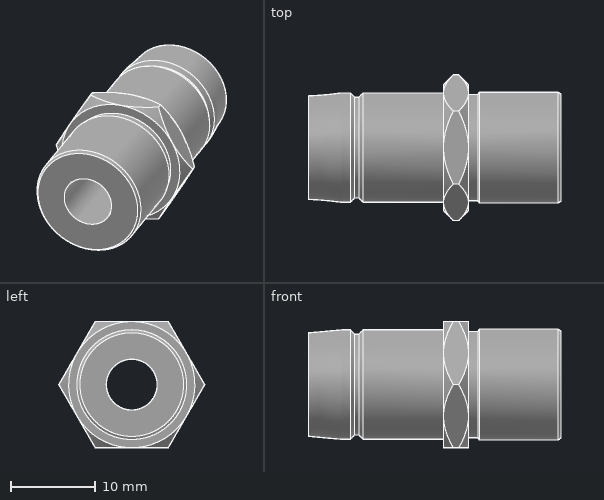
import cadquery as cq
import math

TOTAL_LENGTH = 30.0
BORE_DIAMETER = 6.0

SLEEVE_RADIUS = 6.5
NOSE_RADIUS = 6.15
NOSE_LENGTH = 4.0
GROOVE_START = 4.98
GROOVE_DEPTH = 0.5
GROOVE_FLOOR_WIDTH = 0.5

HEX_ACROSS_FLATS = 15.0
HEX_START = 16.02
HEX_WIDTH = 3.0
HEX_FACE_INSET = 0.015
HEX_FACE_RADIUS = HEX_ACROSS_FLATS / 2 - HEX_FACE_INSET

NECK_RADIUS = 6.33
SPIGOT_RADIUS = 6.6
SPIGOT_START = 20.13
SPIGOT_LEAD_IN = 0.15
END_CHAMFER_LENGTH = 0.35
END_CHAMFER_DEPTH = 0.27


def turned_body():
    """Solid of revolution about X, without the hexagon and the bore."""
    groove_floor_start = GROOVE_START + GROOVE_DEPTH
    groove_floor_end = groove_floor_start + GROOVE_FLOOR_WIDTH
    groove_radius = SLEEVE_RADIUS - GROOVE_DEPTH
    hex_end = HEX_START + HEX_WIDTH
    profile = (
        cq.Workplane("XZ")
        .lineTo(0, NOSE_RADIUS)
        .lineTo(NOSE_LENGTH, SLEEVE_RADIUS)
        .lineTo(GROOVE_START, SLEEVE_RADIUS)
        .lineTo(groove_floor_start, groove_radius)
        .lineTo(groove_floor_end, groove_radius)
        .lineTo(groove_floor_end + GROOVE_DEPTH, SLEEVE_RADIUS)
        .lineTo(hex_end, SLEEVE_RADIUS)
        .lineTo(hex_end, NECK_RADIUS)
        .lineTo(SPIGOT_START, NECK_RADIUS)
        .lineTo(SPIGOT_START + SPIGOT_LEAD_IN, SPIGOT_RADIUS)
        .lineTo(TOTAL_LENGTH - END_CHAMFER_LENGTH, SPIGOT_RADIUS)
        .lineTo(TOTAL_LENGTH, SPIGOT_RADIUS - END_CHAMFER_DEPTH)
        .lineTo(TOTAL_LENGTH, 0)
        .close()
    )
    return profile.revolve(360, (0, 0, 0), (1, 0, 0))


def hexagon_collar():
    """Hexagon with corners on +/-Y, its corners turned off at 45 degrees on both faces."""
    corner_diameter = HEX_ACROSS_FLATS / math.cos(math.pi / 6)
    face = cq.Workplane("YZ").workplane(offset=HEX_START)
    prism = face.polygon(6, corner_diameter).extrude(HEX_WIDTH)
    half_width = HEX_WIDTH / 2
    middle = HEX_START + half_width
    hex_end = HEX_START + HEX_WIDTH
    double_cone = (
        cq.Workplane("XZ")
        .moveTo(HEX_START, 0)
        .lineTo(HEX_START, HEX_FACE_RADIUS)
        .lineTo(middle, HEX_FACE_RADIUS + half_width)
        .lineTo(hex_end, HEX_FACE_RADIUS)
        .lineTo(hex_end, 0)
        .close()
        .revolve(360, (0, 0, 0), (1, 0, 0))
    )
    return prism.intersect(double_cone)


def through_bore():
    return cq.Workplane("YZ").circle(BORE_DIAMETER / 2).extrude(TOTAL_LENGTH)


result = turned_body().union(hexagon_collar()).cut(through_bore())